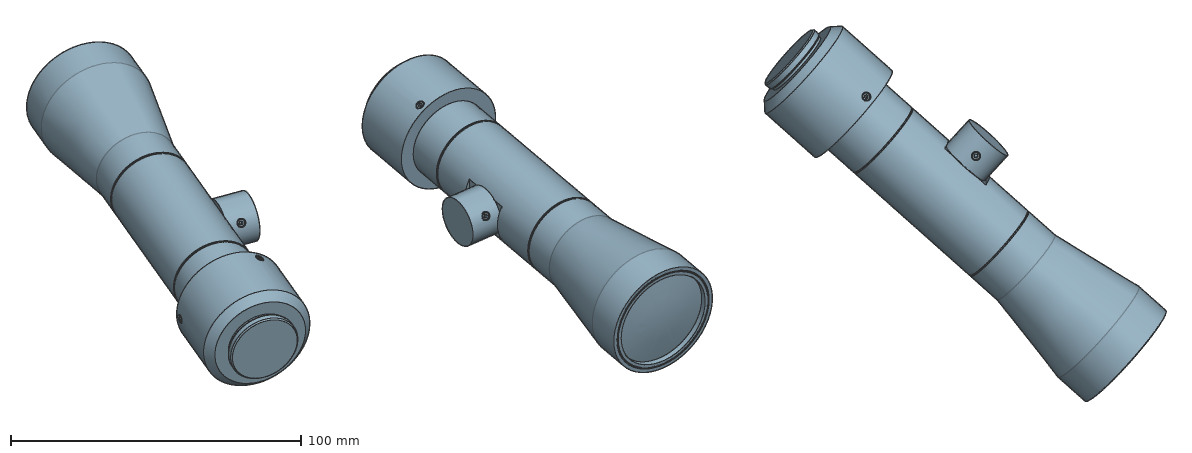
import cadquery as cq
import math

TOTAL_LENGTH = 156.5

BELL_RADIUS = 21.0
BELL_LENGTH = 12.7
TUBE_RADIUS = 15.0
TUBE_START = 46.3
GROOVE_STARTS = (58.5, 112.3)
GROOVE_WIDTH = 0.5
GROOVE_DEPTH = 0.3
SPIGOT_LENGTH = 6.3

RING_GROOVE_RADIUS = 19.5
RING_GROOVE_WIDTH = 0.5
RING_GROOVE_DEPTH = 0.5
LENS_RADIUS = 17.8
LENS_EDGE_DEPTH = 2.0
LENS_BULGE = 1.9

CAP_RADIUS = 20.0
CAP_START = 126.5
CAP_END = 152.5
CAP_CHAMFER = 3.0
NECK_RADIUS = 12.0
MOUNT_RADIUS = 12.7
MOUNT_START = 153.5
MOUNT_CHAMFER = 0.5

PORT_X = 86.4
PORT_RADIUS = 9.0
PORT_BASE_Y = 13.1
PORT_END_Y = 25.0
PORT_FLAT_LENGTH = 19.1

SCREWS_PER_RING = 3
SCREW_RADIUS = 1.5
SCREW_CHAMFER = 0.3
SCREW_LENGTH = CAP_RADIUS - TUBE_RADIUS
SOCKET_SIDES = 6
SOCKET_ACROSS_FLATS = 1.3
SOCKET_DEPTH = 1.5
SCREW_INSET = 0.3
CAP_SCREW_SETBACK = 3.0
CAP_SCREW_X = CAP_START + CAP_SCREW_SETBACK
CAP_SCREW_ANGLE = 180.0
PORT_SCREW_Y = 18.6
PORT_SCREW_ANGLE = 30.0


def ring_direction(index, start_angle):
    """Cosine and sine of one place in an evenly spaced ring of screws."""
    angle = math.radians(start_angle + index * 360 / SCREWS_PER_RING)
    return math.cos(angle), math.sin(angle)


def cap_screw_plane(index):
    """Plane on the cap surface, facing outward."""
    y, z = ring_direction(index, CAP_SCREW_ANGLE)
    origin = (CAP_SCREW_X, CAP_RADIUS * y, CAP_RADIUS * z)
    return cq.Plane(origin=origin, xDir=(1, 0, 0), normal=(0, y, z))


def port_screw_plane(index):
    """Plane on the port surface, facing outward."""
    x, z = ring_direction(index, PORT_SCREW_ANGLE)
    origin = (PORT_X + PORT_RADIUS * x, PORT_SCREW_Y, PORT_RADIUS * z)
    return cq.Plane(origin=origin, xDir=(0, 1, 0), normal=(x, 0, z))


CAP_SCREW_PLANES = [cap_screw_plane(i) for i in range(SCREWS_PER_RING)]
PORT_SCREW_PLANES = [port_screw_plane(i) for i in range(SCREWS_PER_RING)]


def x_cylinder(start, length, radius):
    return cq.Workplane("YZ", origin=(start, 0, 0)).circle(radius).extrude(length)


def x_ring(start, length, outer_radius, inner_radius):
    return cq.Workplane("YZ", origin=(start, 0, 0)).circle(outer_radius).circle(inner_radius).extrude(length)


def make_barrel():
    lens_sphere_radius = (LENS_RADIUS**2 + LENS_BULGE**2) / (2 * LENS_BULGE)
    half_way = math.asin(LENS_RADIUS / lens_sphere_radius) / 2
    lens_apex_x = LENS_EDGE_DEPTH - LENS_BULGE
    lens_middle = (
        lens_apex_x + lens_sphere_radius * (1 - math.cos(half_way)),
        lens_sphere_radius * math.sin(half_way),
    )
    spigot_end = CAP_START + SPIGOT_LENGTH
    barrel = (
        cq.Workplane("XY")
        .moveTo(lens_apex_x, 0)
        .threePointArc(lens_middle, (LENS_EDGE_DEPTH, LENS_RADIUS))
        .lineTo(0, LENS_RADIUS)
        .lineTo(0, BELL_RADIUS)
        .lineTo(BELL_LENGTH, BELL_RADIUS)
        .lineTo(TUBE_START, TUBE_RADIUS)
        .lineTo(spigot_end, TUBE_RADIUS)
        .lineTo(spigot_end, 0)
        .close()
        .revolve(360, (0, 0, 0), (1, 0, 0))
    )
    ring_groove_inner = RING_GROOVE_RADIUS - RING_GROOVE_WIDTH
    barrel = barrel.cut(x_ring(0, RING_GROOVE_DEPTH, RING_GROOVE_RADIUS, ring_groove_inner))
    for start in GROOVE_STARTS:
        barrel = barrel.cut(x_ring(start, GROOVE_WIDTH, BELL_RADIUS, TUBE_RADIUS - GROOVE_DEPTH))
    port_flat = cq.Workplane("XY").box(PORT_FLAT_LENGTH, TUBE_RADIUS, 2 * TUBE_RADIUS)
    return barrel.cut(port_flat.translate((PORT_X, PORT_BASE_Y + TUBE_RADIUS / 2, 0)))


def cut_screw_holes(body, planes, depth):
    for plane in planes:
        body = body.cut(cq.Workplane(plane).circle(SCREW_RADIUS).extrude(-depth))
    return body


def make_cap():
    cap = x_cylinder(CAP_START, CAP_END - CAP_START, CAP_RADIUS).faces(">X").chamfer(CAP_CHAMFER)
    neck = x_cylinder(CAP_END, MOUNT_START - CAP_END, NECK_RADIUS)
    mount = x_cylinder(MOUNT_START, TOTAL_LENGTH - MOUNT_START, MOUNT_RADIUS)
    mount = mount.faces("<X or >X").chamfer(MOUNT_CHAMFER)
    cap = cap.union(neck).union(mount)
    cap = cap.cut(x_cylinder(CAP_START, SPIGOT_LENGTH, TUBE_RADIUS))
    hole_depth = SCREW_LENGTH + SCREW_RADIUS
    return cut_screw_holes(cap, CAP_SCREW_PLANES, hole_depth)


def make_port():
    base = cq.Workplane("XZ", origin=(PORT_X, PORT_BASE_Y, 0))
    port = base.circle(PORT_RADIUS).extrude(PORT_BASE_Y - PORT_END_Y)
    return cut_screw_holes(port, PORT_SCREW_PLANES, SCREW_LENGTH)


def make_set_screw(plane):
    """Headless screw whose hexagon socket opens just below the surrounding surface."""
    socket_corner_diameter = SOCKET_ACROSS_FLATS / math.cos(math.pi / SOCKET_SIDES)
    top_plane = cq.Workplane(plane).workplane(offset=-SCREW_INSET)
    screw = top_plane.circle(SCREW_RADIUS).extrude(SCREW_INSET - SCREW_LENGTH)
    screw = screw.faces(cq.selectors.DirectionMinMaxSelector(plane.zDir)).chamfer(SCREW_CHAMFER)
    return screw.cut(top_plane.polygon(SOCKET_SIDES, socket_corner_diameter).extrude(-SOCKET_DEPTH))


barrel = make_barrel()
cap = make_cap()
port = make_port()
set_screws = [make_set_screw(plane) for plane in CAP_SCREW_PLANES + PORT_SCREW_PLANES]

result = cq.Compound.makeCompound(
    [barrel.val(), cap.val(), port.val(), *[screw.val() for screw in set_screws]]
)